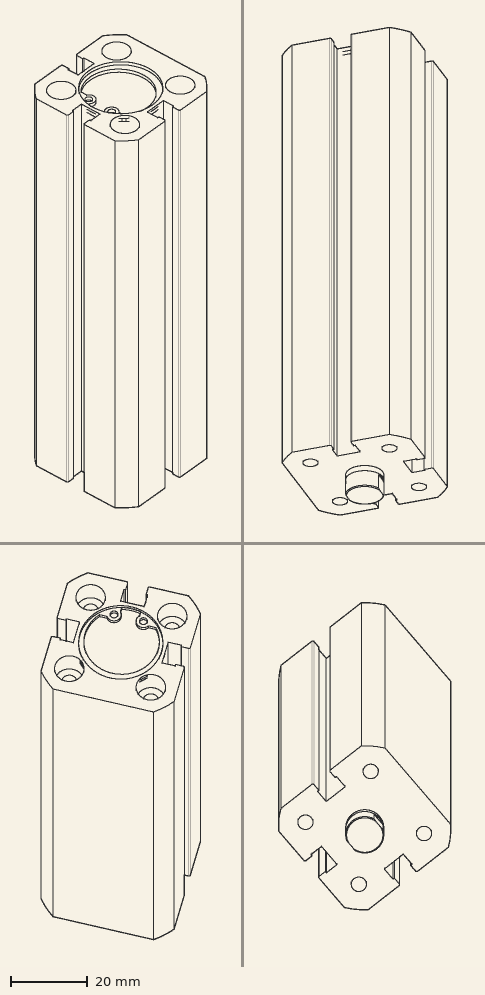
import cadquery as cq

overall_length = 128.0
body_width = 36.0
corner_radius = 22.5
rod_reach = 6.1

slot_mouth_width = 5.5
slot_inner_width = 6.4
slot_lip_depth = 2.4
slot_depth = 6.0
slot_mouth_fillet = 0.4

bolt_offset = 11.0
bolt_hole_diameter = 4.0
counterbore_diameter = 7.7
counterbore_depth = 7.0

bore_radius = 11.0
groove_radius = 11.8
ring_top_gap = 1.0
ring_thickness = 1.0
plate_thickness = 5.1

ring_inner_radius = 9.9
ring_inner_shift = 0.9
ring_end_level = 7.2
ring_gap_half_width = 2.5
ear_x = 4.0
ear_y = -8.2
ear_radius = 1.9
ear_hole_radius = 1.0

rod_radius = 5.0
flat_half_width = 4.6
rod_joint_drop = 1.5
shoulder_length = 1.9
rod_chamfer = 0.3

body_height = overall_length - rod_reach
half_width = body_width / 2
ring_top = body_height - ring_top_gap
ring_bottom = ring_top - ring_thickness
ear_positions = [(-ear_x, ear_y), (ear_x, ear_y)]
plate_bottom = ring_bottom - plate_thickness


def cylinder(radius, bottom, top, x=0.0, y=0.0):
    """Upright cylinder between two levels."""
    return cq.Workplane("XY", origin=(x, y, bottom)).circle(radius).extrude(top - bottom)


def box(x_min, x_max, y_min, y_max, bottom, top):
    """Upright block from its limits."""
    return (
        cq.Workplane("XY", origin=((x_min + x_max) / 2, (y_min + y_max) / 2, bottom))
        .rect(x_max - x_min, y_max - y_min)
        .extrude(top - bottom)
    )


def side_slot(angle):
    """Stepped slot along the whole +X side with a rounded mouth, turned about Z by the angle."""
    mouth = slot_mouth_width / 2
    inner = slot_inner_width / 2
    floor_x = half_width - slot_depth
    lip_x = half_width - slot_lip_depth
    rounding_x = half_width - slot_mouth_fillet
    rounded_mouth = mouth + slot_mouth_fillet
    slot = (
        cq.Workplane("XY")
        .moveTo(floor_x, -inner)
        .lineTo(lip_x, -inner)
        .lineTo(lip_x, -mouth)
        .lineTo(rounding_x, -mouth)
        .radiusArc((half_width, -rounded_mouth), slot_mouth_fillet)
        .lineTo(half_width, rounded_mouth)
        .radiusArc((rounding_x, mouth), slot_mouth_fillet)
        .lineTo(lip_x, mouth)
        .lineTo(lip_x, inner)
        .lineTo(floor_x, inner)
        .close()
        .extrude(body_height)
    )
    return slot.rotate((0, 0, 0), (0, 0, 1), angle)


def make_housing():
    """Square extrusion with round corners, three slots, bolt holes and a stepped bore."""
    housing = cq.Workplane("XY").rect(body_width, body_width).extrude(body_height)
    housing = housing.intersect(cylinder(corner_radius, 0, body_height))
    for angle in (0, 180, 270):
        housing = housing.cut(side_slot(angle))
    for x in (-bolt_offset, bolt_offset):
        for y in (-bolt_offset, bolt_offset):
            housing = housing.cut(cylinder(bolt_hole_diameter / 2, 0, body_height, x, y))
            counterbore_floor = body_height - counterbore_depth
            housing = housing.cut(cylinder(counterbore_diameter / 2, counterbore_floor, body_height, x, y))
    housing = housing.cut(cylinder(bore_radius, plate_bottom, body_height))
    housing = housing.cut(cylinder(groove_radius, ring_bottom, ring_top))
    return housing.cut(cylinder(rod_radius, 0, plate_bottom))


def make_end_plate():
    """Disc that closes the bore below the retaining ring."""
    return cylinder(bore_radius, plate_bottom, ring_bottom)


def make_retaining_ring():
    """Open ring with two drilled ears, seated in the bore groove."""
    ring = cylinder(groove_radius, ring_bottom, ring_top)
    opening = cylinder(ring_inner_radius, ring_bottom, ring_top, y=-ring_inner_shift)
    opening = opening.intersect(
        box(-groove_radius, groove_radius, -ring_end_level, groove_radius, ring_bottom, ring_top)
    )
    ring = ring.cut(opening)
    ring = ring.cut(
        box(-ring_gap_half_width, ring_gap_half_width, -groove_radius, 0, ring_bottom, ring_top)
    )
    for x, y in ear_positions:
        ring = ring.union(cylinder(ear_radius, ring_bottom, ring_top, x, y))
    for x, y in ear_positions:
        ring = ring.cut(cylinder(ear_hole_radius, ring_bottom, ring_top, x, y))
    return ring


def make_rod():
    """Round rod from the end plate to just below the housing."""
    return cylinder(rod_radius, -rod_joint_drop, plate_bottom)


def make_rod_end():
    """Chamfered end of the rod with two opposite wrench flats."""
    rod_end = cylinder(rod_radius, -rod_reach, -rod_joint_drop).faces("<Z").chamfer(rod_chamfer)
    for side in (-1, 1):
        y_near, y_far = sorted((side * flat_half_width, side * rod_radius))
        rod_end = rod_end.cut(box(-rod_radius, rod_radius, y_near, y_far, -rod_reach, -shoulder_length))
    return rod_end


housing = make_housing()
end_plate = make_end_plate()
retaining_ring = make_retaining_ring()
rod = make_rod()
rod_end = make_rod_end()

result = cq.Compound.makeCompound(
    [housing.val(), end_plate.val(), retaining_ring.val(), rod.val(), rod_end.val()]
)